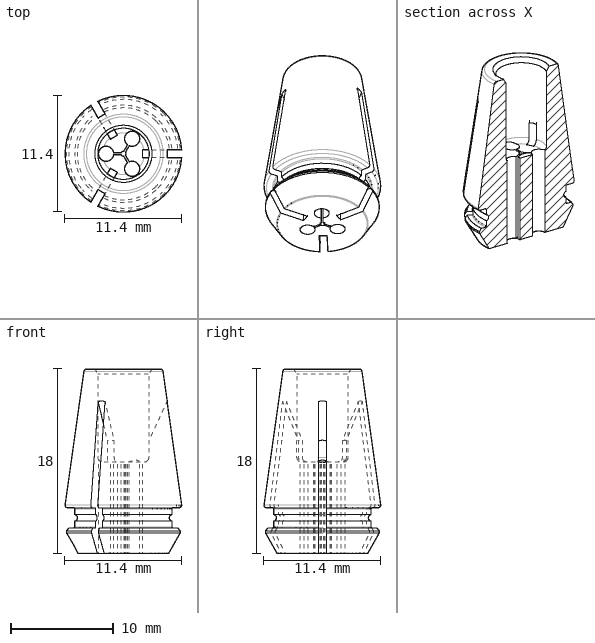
import cadquery as cq
import math

LENGTH = 18.0
TAPER_ANGLE = math.radians(8)

NOSE_FACE_RADIUS = 4.43
NOSE_RADIUS = 5.56
NOSE_BAND_BOTTOM = 2.02
NOSE_BAND_TOP = 2.2
NOSE_TOP = 2.5
NOSE_TOP_RADIUS = 5.33
NOSE_ROUND = 0.1

NECK_RADIUS = 4.75
NECK_TOP = 4.46
NECK_FILLET = 0.1
GROOVE_HALF_WIDTH = 0.32
GROOVE_DEPTH = 0.25
GROOVE_CENTRE = (NOSE_TOP + NECK_TOP) / 2

BODY_RADIUS = 5.75
BODY_BOTTOM_ROUND = 0.25
TOP_ROUND = 0.27
BODY_TOP_RADIUS = BODY_RADIUS - (LENGTH - NECK_TOP) * math.tan(TAPER_ANGLE)

BORE_RADIUS = 5.0 / 2
BORE_MOUTH_RADIUS = 2.79
BORE_CHAMFER_HEIGHT = 0.5
FLOOR_ROUND = 0.47
FLOOR_HEIGHT = 8.91
FLOOR_ROUND_TOP = FLOOR_HEIGHT + FLOOR_ROUND

JAWS = 3
JAW_ANGLE = 360 / JAWS
SLOT_WIDTH = 0.77
SLOT_INNER_RADIUS = 1.87
SLOT_TOP = 14.87
SLOT_RAMP_ANGLE = math.radians(25)
RELIEF_DIAMETER = 1.45
RELIEF_CENTRE_RADIUS = 1.7
SLIT_WIDTH = 0.18
CENTRE_HOLE_DIAMETER = 0.47
CLEARANCE = 0.9


def make_body():
    """Revolve the outer outline, then round its edges."""
    body = (
        cq.Workplane("XZ")
        .lineTo(NOSE_FACE_RADIUS, 0)
        .lineTo(NOSE_RADIUS, NOSE_BAND_BOTTOM)
        .lineTo(NOSE_RADIUS, NOSE_BAND_TOP)
        .lineTo(NOSE_TOP_RADIUS, NOSE_TOP)
        .lineTo(NECK_RADIUS, NOSE_TOP)
        .lineTo(NECK_RADIUS, GROOVE_CENTRE - GROOVE_HALF_WIDTH)
        .threePointArc(
            (NECK_RADIUS - GROOVE_DEPTH, GROOVE_CENTRE),
            (NECK_RADIUS, GROOVE_CENTRE + GROOVE_HALF_WIDTH),
        )
        .lineTo(NECK_RADIUS, NECK_TOP)
        .lineTo(BODY_RADIUS, NECK_TOP)
        .lineTo(BODY_TOP_RADIUS, LENGTH)
        .lineTo(0, LENGTH)
        .close()
        .revolve(360, (0, 0, 0), (0, 1, 0))
    )
    body = body.faces(">Z").edges().fillet(TOP_ROUND)
    body = body.faces("<Z").edges().fillet(NOSE_ROUND)
    shoulder = body.faces(cq.selectors.NearestToPointSelector((0, 0, NECK_TOP)))
    body = shoulder.edges(cq.selectors.RadiusNthSelector(-1)).fillet(BODY_BOTTOM_ROUND)
    inner_edge = cq.selectors.RadiusNthSelector(0)
    for height in (NOSE_TOP, NECK_TOP):
        ring = body.faces(cq.selectors.NearestToPointSelector((0, 0, height)))
        body = ring.edges(inner_edge).fillet(NECK_FILLET)
    return body


def make_bore():
    """Revolve the blind bore with its flared mouth."""
    return (
        cq.Workplane("XZ")
        .moveTo(0, FLOOR_HEIGHT)
        .lineTo(BORE_RADIUS - FLOOR_ROUND, FLOOR_HEIGHT)
        .tangentArcPoint((BORE_RADIUS, FLOOR_ROUND_TOP), relative=False)
        .lineTo(BORE_RADIUS, LENGTH - BORE_CHAMFER_HEIGHT)
        .lineTo(BORE_MOUTH_RADIUS, LENGTH)
        .lineTo(0, LENGTH)
        .close()
        .revolve(360, (0, 0, 0), (0, 1, 0))
    )


def make_slot():
    """Outer slot along +X whose floor ramps out through the taper at its top."""
    top_radius = BODY_RADIUS - (SLOT_TOP - NECK_TOP) * math.tan(TAPER_ANGLE)
    ramp_bottom = SLOT_TOP - (top_radius - SLOT_INNER_RADIUS) / math.tan(SLOT_RAMP_ANGLE)
    outside = BODY_RADIUS + CLEARANCE
    return (
        cq.Workplane("XZ")
        .moveTo(SLOT_INNER_RADIUS, -CLEARANCE)
        .lineTo(SLOT_INNER_RADIUS, ramp_bottom)
        .lineTo(top_radius, SLOT_TOP)
        .lineTo(outside, SLOT_TOP)
        .lineTo(outside, -CLEARANCE)
        .close()
        .extrude(SLOT_WIDTH / 2, both=True)
    )


def make_jaw_gap():
    """Round relief along -X joined to the centre by a narrow slit."""
    relief = (
        cq.Workplane("XY")
        .center(-RELIEF_CENTRE_RADIUS, 0)
        .circle(RELIEF_DIAMETER / 2)
        .extrude(FLOOR_ROUND_TOP)
    )
    slit = (
        cq.Workplane("XY")
        .center(-RELIEF_CENTRE_RADIUS / 2, 0)
        .rect(RELIEF_CENTRE_RADIUS, SLIT_WIDTH)
        .extrude(FLOOR_ROUND_TOP)
    )
    return relief.union(slit)


result = make_body().cut(make_bore())
centre_hole = cq.Workplane("XY").circle(CENTRE_HOLE_DIAMETER / 2).extrude(FLOOR_ROUND_TOP)
result = result.cut(centre_hole)
for jaw in range(JAWS):
    for opening in (make_slot(), make_jaw_gap()):
        result = result.cut(opening.rotate((0, 0, 0), (0, 0, 1), jaw * JAW_ANGLE))